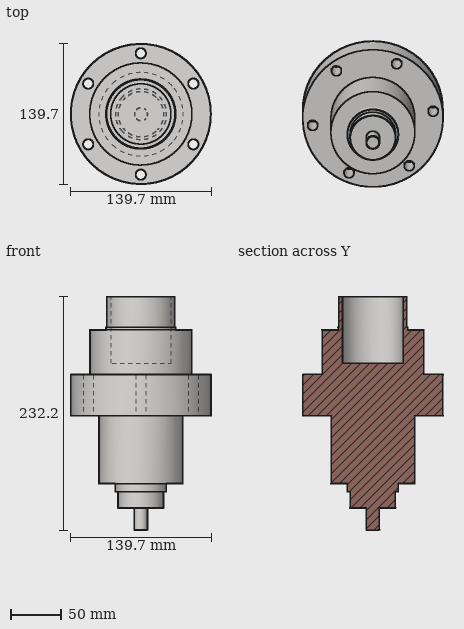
import cadquery as cq

OVERALL_HEIGHT = 232.16
NECK_BOTTOM_Z = 22.1
COLLAR_BOTTOM_Z = 38.1
BARREL_BOTTOM_Z = 46.4
FLANGE_BOTTOM_Z = 113.7
FLANGE_TOP_Z = 155.1
BODY_TOP_Z = 199.1
RING_TOP_Z = 202.0

SHAFT_DIAMETER = 13.5
NECK_DIAMETER = 45.5
COLLAR_DIAMETER = 51.0
BARREL_DIAMETER = 83.5
FLANGE_DIAMETER = 139.7
BODY_DIAMETER = 101.6
RING_DIAMETER = 69.6
TUBE_DIAMETER = 68.0

BORE_DIAMETER = 60.0
BORE_DEPTH = 66.0

BOLT_COUNT = 6
BOLT_HOLE_DIAMETER = 10.0
BOLT_CIRCLE_DIAMETER = 120.65
FIRST_BOLT_ANGLE = 90.0
FULL_TURN = 360.0

EDGE_CHAMFER = 0.4
TIP_CHAMFER = 0.6
ROOT_FILLET = 0.4


def disc(diameter, bottom, top):
    """Cylinder on the Z axis between two heights."""
    return cq.Workplane("XY").workplane(offset=bottom).circle(diameter / 2).extrude(top - bottom)


def lower_drive():
    """Shaft, neck and collar, each with its exposed lower edge broken."""
    shaft = disc(SHAFT_DIAMETER, 0, NECK_BOTTOM_Z).faces("<Z").chamfer(TIP_CHAMFER)
    neck = disc(NECK_DIAMETER, NECK_BOTTOM_Z, COLLAR_BOTTOM_Z).faces("<Z").chamfer(EDGE_CHAMFER)
    collar = disc(COLLAR_DIAMETER, COLLAR_BOTTOM_Z, BARREL_BOTTOM_Z).faces("<Z").chamfer(EDGE_CHAMFER)
    return shaft.union(neck).union(collar)


def housing():
    """Barrel, mounting flange and upper body."""
    barrel = disc(BARREL_DIAMETER, BARREL_BOTTOM_Z, FLANGE_BOTTOM_Z)
    flange = disc(FLANGE_DIAMETER, FLANGE_BOTTOM_Z, FLANGE_TOP_Z).faces(">Z").chamfer(EDGE_CHAMFER)
    body = disc(BODY_DIAMETER, FLANGE_TOP_Z, BODY_TOP_Z)
    return barrel.union(flange).union(body)


def upper_tube():
    """Tube standing on a thin seating ring."""
    ring = disc(RING_DIAMETER, BODY_TOP_Z, RING_TOP_Z)
    return ring.union(disc(TUBE_DIAMETER, RING_TOP_Z, OVERALL_HEIGHT))


def bore():
    """Blind bore open at the top of the tube."""
    return disc(BORE_DIAMETER, OVERALL_HEIGHT - BORE_DEPTH, OVERALL_HEIGHT)


def bolt_holes():
    """Ring of through holes in the flange."""
    return (
        cq.Workplane("XY")
        .workplane(offset=FLANGE_BOTTOM_Z)
        .polarArray(BOLT_CIRCLE_DIAMETER / 2, FIRST_BOLT_ANGLE, FULL_TURN, BOLT_COUNT)
        .circle(BOLT_HOLE_DIAMETER / 2)
        .extrude(FLANGE_TOP_Z - FLANGE_BOTTOM_Z)
    )


def root_edge(radius, height):
    """Selector for the circular edge of given radius at the given height."""
    reach = radius + ROOT_FILLET
    return cq.selectors.BoxSelector(
        (-reach, -reach, height - ROOT_FILLET),
        (reach, reach, height + ROOT_FILLET),
        boundingbox=True,
    )


def round_roots(body):
    """Fillet the inside corners where the collar and the ring meet the housing."""
    collar_root = root_edge(COLLAR_DIAMETER / 2, BARREL_BOTTOM_Z)
    ring_root = root_edge(RING_DIAMETER / 2, BODY_TOP_Z)
    return body.edges(collar_root).fillet(ROOT_FILLET).edges(ring_root).fillet(ROOT_FILLET)


solid = round_roots(lower_drive().union(housing()).union(upper_tube()))
result = solid.cut(bore()).cut(bolt_holes())